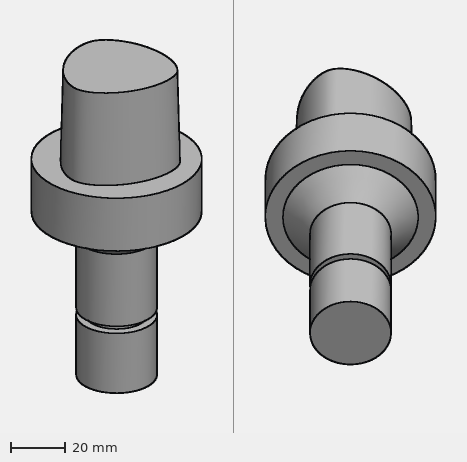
import cadquery as cq
import math

overall_length = 128
shank_length = 38.0
flange_height = 22.0
cone_height = 10.0
groove_bottom = 25.0
groove_width = 3.0
flange_top = overall_length - shank_length
flange_bottom = flange_top - flange_height
cone_bottom = flange_bottom - cone_height

flange_diameter = 63.0
stem_diameter = 30.0
groove_diameter = 23
cone_diameter = stem_diameter + 2 * cone_height

shank_width = 44.2
taper_ratio = 1 / 20
shank_top_width = shank_width - shank_length * taper_ratio
lobe_height = 1.5
outline_points = 72


def trilobe_wire(width, height):
    """Closed curve of constant width with three lobes, one pointing to -Y."""

    def outline_point(index):
        angle = 2 * math.pi * index / outline_points
        along_lobe = (
            width / 2 * math.cos(angle)
            + lobe_height * (2 * math.cos(2 * angle) - math.cos(4 * angle))
        )
        across_lobe = (
            width / 2 * math.sin(angle)
            - lobe_height * (2 * math.sin(2 * angle) + math.sin(4 * angle))
        )
        return cq.Vector(across_lobe, -along_lobe, height)

    points = [outline_point(index) for index in range(outline_points)]
    return cq.Wire.assembleEdges([cq.Edge.makeSpline(points, periodic=True)])


def cylinder(diameter, bottom, height):
    return cq.Workplane("XY").workplane(offset=bottom).circle(diameter / 2).extrude(height)


def make_holder():
    """Round flange carrying the tapered trilobe shank."""
    flange = cylinder(flange_diameter, flange_bottom, flange_height)
    shank = cq.Solid.makeLoft([
        trilobe_wire(shank_width, flange_top),
        trilobe_wire(shank_top_width, overall_length),
    ])
    return flange.union(cq.Workplane(obj=shank)).solids()


def make_stem():
    """Grooved round stem that widens in a cone to meet the flange."""
    stem_radius = stem_diameter / 2
    groove_radius = groove_diameter / 2
    groove_top = groove_bottom + groove_width
    half_section = [
        (0, 0),
        (stem_radius, 0),
        (stem_radius, groove_bottom),
        (groove_radius, groove_bottom),
        (groove_radius, groove_top),
        (stem_radius, groove_top),
        (stem_radius, cone_bottom),
        (cone_diameter / 2, flange_bottom),
        (0, flange_bottom),
    ]
    return cq.Workplane("XZ").polyline(half_section).close().revolve(360, (0, 0), (0, 1))


holder = make_holder()
stem = make_stem()

result = cq.Compound.makeCompound([holder.val(), stem.val()])